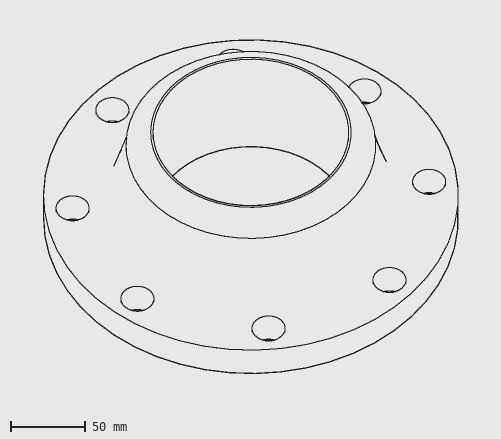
import cadquery as cq
import math

flange_diameter = 279.4
overall_height = 88.96

raised_face_diameter = 215.9
raised_face_height = 1.6
flange_top = 25.4

hub_base_diameter = 192.0
hub_base_fillet = 3.0
neck_diameter = 168.3
neck_length = 7.0

bore_diameter = 131.8
land_width = 1.6
bevel_angle = 37.5

bolt_count = 8
bolt_circle_diameter = 241.3
bolt_hole_diameter = 22.3

flange_radius = flange_diameter / 2
raised_face_radius = raised_face_diameter / 2
hub_base_radius = hub_base_diameter / 2
neck_radius = neck_diameter / 2
bore_radius = bore_diameter / 2
land_radius = bore_radius + land_width
bevel_base = overall_height - (neck_radius - land_radius) * math.tan(math.radians(bevel_angle))
hub_top = bevel_base - neck_length

hub_taper = math.atan2(hub_base_radius - neck_radius, hub_top - flange_top)
corner_angle = math.pi / 2 + hub_taper
fillet_reach = hub_base_fillet / math.tan(corner_angle / 2)
fillet_start = (hub_base_radius + fillet_reach, flange_top)
fillet_end = (
    hub_base_radius - fillet_reach * math.sin(hub_taper),
    flange_top + fillet_reach * math.cos(hub_taper),
)


def flange_body():
    """Revolve the half section: raised face, flange, filleted taper hub, neck and weld bevel."""
    section = (
        cq.Workplane("XZ")
        .moveTo(bore_radius, 0)
        .lineTo(raised_face_radius, 0)
        .lineTo(raised_face_radius, raised_face_height)
        .lineTo(flange_radius, raised_face_height)
        .lineTo(flange_radius, flange_top)
        .lineTo(*fillet_start)
        .tangentArcPoint(fillet_end, relative=False)
        .lineTo(neck_radius, hub_top)
        .lineTo(neck_radius, bevel_base)
        .lineTo(land_radius, overall_height)
        .lineTo(bore_radius, overall_height)
        .close()
    )
    return section.revolve(360, (0, 0, 0), (0, 1, 0))


def bolt_holes():
    """Cylinders evenly spaced on the bolt circle, through the whole flange."""
    return (
        cq.Workplane("XY")
        .polarArray(bolt_circle_diameter / 2, 0, 360, bolt_count)
        .circle(bolt_hole_diameter / 2)
        .extrude(flange_top)
    )


result = flange_body().cut(bolt_holes())